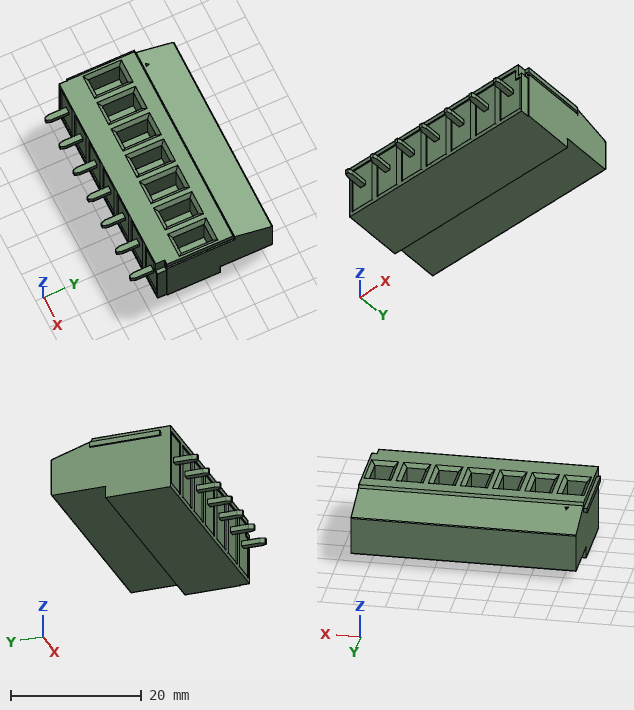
import cadquery as cq

pole_count = 7
overall_length = 35.6
body_length = 35.0
rail_projection = overall_length - body_length
pitch = body_length / pole_count
body_depth = 19.47
body_height = 10.5

front_plate_depth = 1.53
foot_depth = 10.57
foot_drop = 1.92
ridge_front_y = 12.75
ridge_rear_y = 13.03
ridge_drop = 0.45
rear_edge_z = 8.05
rear_edge_break = 0.15

plate_inset = 0.15
notch_width = 0.82
notch_drop = 2.25
notch_wall = 0.6

recess_width = 4.0
recess_margin = 0.82
recess_depth = 0.2

opening_center_y = 7.1
well_width = 3.0
well_length = 5.3
funnel_flare = 0.6
funnel_drop = 0.6
well_drop = 5.0

pin_width = 1.0
pin_thickness = 0.85
pin_reach = 3.52
pin_tip_width = 0.5
pin_tip_length = 0.8
pin_center_z = body_height - 4.9

rail_center_z = body_height - 1.2
rail_outer_height = 0.82
rail_neck_height = 0.45
groove_clearance = 0.05

marker_base_y = 13.53
marker_width = 0.5
marker_height = 0.5
marker_depth = 0.1

pole_centers = [pitch * (index + 0.5) for index in range(pole_count)]


def box(x_min, x_max, y_min, y_max, z_min, z_max):
    """Block spanning the given limits."""
    size = (x_max - x_min, y_max - y_min, z_max - z_min)
    return cq.Workplane("XY").box(*size, centered=False).translate((x_min, y_min, z_min))


def slope_height(y):
    """Height of the rear slope at a given Y."""
    ridge_z = body_height - ridge_drop
    fall = (ridge_z - rear_edge_z) / (body_depth - ridge_rear_y)
    return ridge_z - fall * (y - ridge_rear_y)


def make_body():
    """Extruded housing with a deep foot at the front and a sloping top at the rear."""
    rear_break_y = body_depth - rear_edge_break
    profile = [
        (0, 0),
        (foot_depth, 0),
        (foot_depth, foot_drop),
        (rear_break_y, foot_drop),
        (body_depth, foot_drop + rear_edge_break),
        (body_depth, slope_height(rear_break_y) - rear_edge_break),
        (rear_break_y, slope_height(rear_break_y)),
        (ridge_rear_y, slope_height(ridge_rear_y)),
        (ridge_front_y, body_height),
        (0, body_height),
    ]
    return cq.Workplane("YZ").polyline(profile).close().extrude(body_length)


def make_plate_notch():
    """Material removed from the right end of the front plate."""
    plate_end = body_length - plate_inset
    end_strip = box(plate_end, body_length, 0, front_plate_depth, 0, body_height)
    notch_x = body_length - notch_width
    notch_z = body_height - notch_drop
    return end_strip.union(box(notch_x, body_length, 0, front_plate_depth, notch_z, body_height))


def make_recesses():
    """One shallow rectangle per pole; the last one steps around the plate notch."""
    top = body_height - recess_margin
    half = recess_width / 2
    cutters = cq.Workplane("XY")
    for x in pole_centers:
        cutters = cutters.union(box(x - half, x + half, 0, recess_depth, recess_margin, top))
    wall_x = body_length - notch_width - notch_wall
    wall_z = body_height - notch_drop - notch_wall
    return cutters.cut(box(wall_x, body_length, 0, recess_depth, wall_z, body_height))


def make_opening(x):
    """Flared mouth leading into a straight rectangular well."""
    well = (
        cq.Workplane("XY", origin=(x, opening_center_y, body_height))
        .rect(well_width, well_length)
        .extrude(-well_drop)
    )
    mouth = (
        cq.Workplane("XY", origin=(x, opening_center_y, body_height))
        .rect(well_width + 2 * funnel_flare, well_length + 2 * funnel_flare)
        .workplane(offset=-funnel_drop)
        .rect(well_width, well_length)
        .loft(ruled=True)
    )
    return well.union(mouth)


def make_pin(x):
    """Flat pin pointing to -Y, tapered in width at its tip."""
    half = pin_width / 2
    tip_half = pin_tip_width / 2
    shoulder_y = pin_tip_length - pin_reach
    outline = [
        (x - half, recess_depth),
        (x - half, shoulder_y),
        (x - tip_half, -pin_reach),
        (x + tip_half, -pin_reach),
        (x + half, shoulder_y),
        (x + half, recess_depth),
    ]
    return (
        cq.Workplane("XY", origin=(0, 0, pin_center_z - pin_thickness / 2))
        .polyline(outline)
        .close()
        .extrude(pin_thickness)
    )


def make_dovetail(neck_x, clearance=0.0):
    """Dovetail bar from the front plate to the ridge, widening from its neck towards -X."""
    outer_x = neck_x - rail_projection - clearance
    neck_half = rail_neck_height / 2 + clearance
    outer_half = rail_outer_height / 2 + clearance
    section = [
        (neck_x, rail_center_z - neck_half),
        (outer_x, rail_center_z - outer_half),
        (outer_x, rail_center_z + outer_half),
        (neck_x, rail_center_z + neck_half),
    ]
    return (
        cq.Workplane("XZ", origin=(0, front_plate_depth, 0))
        .polyline(section)
        .close()
        .extrude(front_plate_depth - ridge_rear_y)
    )


def make_marker():
    """Small triangle sunk below the rear slope, pointing to the rear."""
    x = pole_centers[0]
    half = marker_width / 2
    tip_y = marker_base_y + marker_height
    outline = [(x - half, marker_base_y), (x + half, marker_base_y), (x, tip_y)]
    prism = cq.Workplane("XY").polyline(outline).close().extrude(body_height)
    floor_profile = [
        (marker_base_y, 0),
        (tip_y, 0),
        (tip_y, slope_height(tip_y) - marker_depth),
        (marker_base_y, slope_height(marker_base_y) - marker_depth),
    ]
    below_floor = cq.Workplane("YZ").polyline(floor_profile).close().extrude(pitch)
    return prism.cut(below_floor)


result = make_body().cut(make_plate_notch()).cut(make_recesses())
result = result.cut(make_dovetail(body_length, groove_clearance)).cut(make_marker())
for pole_x in pole_centers:
    result = result.cut(make_opening(pole_x)).union(make_pin(pole_x))
result = result.union(make_dovetail(0))